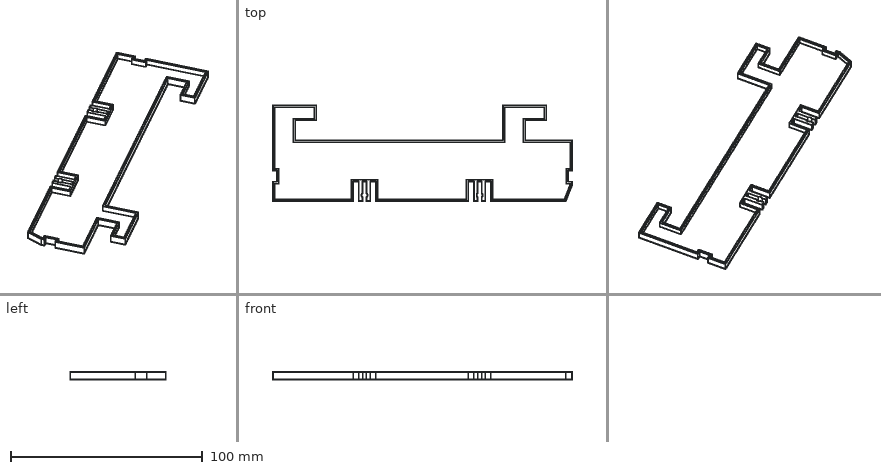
import cadquery as cq

length = 156.0
depth = 50.0
height = 4.0

wall = 1.0
floor = 1.0

plate_depth = 31.8
hook_length = 22.6
hook_arm = 11.7
hook_tip = 8.0
right_hook_x = 120.0

notch_depth = 2.0
notch_bottom = 10.1
notch_top = 15.9

slant_length = 3.3
slant_depth = 8.3

clip_centers = (47.7, 107.8)
slot_width = 11.9
slot_depth = 10.1
tine_width = 2.0
tine_gap = 2.0
socket_diameter = 3.0
socket_y = 3.1


def hook_points(x):
    """Corners of a hook whose upright starts at x, clockwise from its left foot."""
    return [
        (x, plate_depth),
        (x, depth),
        (x + hook_length, depth),
        (x + hook_length, depth - hook_tip),
        (x + hook_arm, depth - hook_tip),
        (x + hook_arm, plate_depth),
    ]


def slot_points(center):
    """Corners of a clip slot, from right to left along the front edge."""
    left = center - slot_width / 2
    right = center + slot_width / 2
    return [(right, 0), (right, slot_depth), (left, slot_depth), (left, 0)]


def outline_points():
    """Closed outline of the tray, clockwise from the front left corner."""
    points = [
        (0, 0),
        (0, notch_bottom),
        (notch_depth, notch_bottom),
        (notch_depth, notch_top),
        (0, notch_top),
    ]
    points += hook_points(0)[1:]
    points += hook_points(right_hook_x)
    points += [
        (length, plate_depth),
        (length, notch_top),
        (length - notch_depth, notch_top),
        (length - notch_depth, notch_bottom),
        (length, notch_bottom),
        (length, slant_depth),
        (length - slant_length, 0),
    ]
    for center in reversed(clip_centers):
        points += slot_points(center)
    return points


def make_tray():
    """Full-height block hollowed from above, leaving the floor and the rim."""
    outline = cq.Workplane("XY").polyline(outline_points()).close()
    block = outline.extrude(height)
    cavity = (
        cq.Workplane("XY", origin=(0, 0, floor))
        .polyline(outline_points())
        .close()
        .offset2D(-wall, "intersection")
        .extrude(height - floor)
    )
    return block.cut(cavity)


def make_tines(center):
    """Pair of solid tines with a round socket hollowed between them."""
    tine_length = slot_depth + wall / 2
    spread = (tine_gap + tine_width) / 2
    tines = (
        cq.Workplane("XY")
        .pushPoints([(center - spread, tine_length / 2), (center + spread, tine_length / 2)])
        .rect(tine_width, tine_length)
        .extrude(height)
    )
    socket = cq.Workplane("XY").center(center, socket_y).circle(socket_diameter / 2).extrude(height)
    return tines.cut(socket)


result = make_tray()
for clip_center in clip_centers:
    result = result.union(make_tines(clip_center))